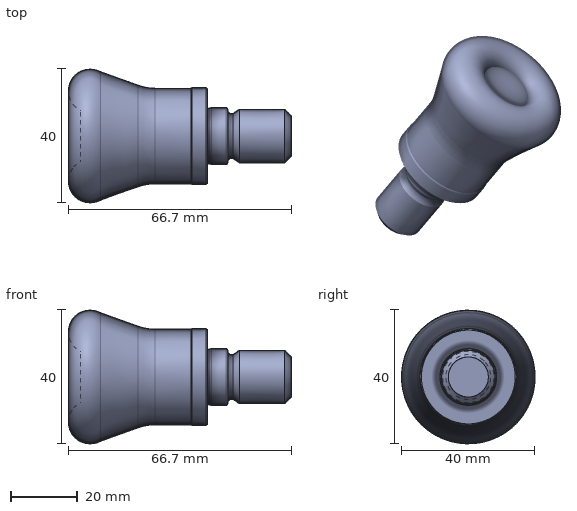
import cadquery as cq
import math


rim_outer_radius = 20.0
rim_tube_radius = 13.0 / 2
rim_end_x = 9.55
recess_floor_radius = 7.7
flare_angle = math.radians(20)
neck_radius = 28.6 / 2
neck_blend_radius = 15.0
neck_start_x = 25.95
knob_end_x = 36.6

collar_start_x = 37.0
collar_radius = 29.0 / 2
collar_end_x = 41.7
collar_chamfer = 0.5
step_radius = 16.6 / 2
step_end_x = 42.0
shoulder_radius = 17.0 / 2
shoulder_start_x = 42.8
shoulder_end_x = 47.7
shoulder_fillet = 0.6
relief_radius = 13.5 / 2
relief_fillet = 1.0
relief_end_x = 49.3
shank_radius = 16.0 / 2
shank_start_x = 51.15
shank_end_x = 66.7
tip_chamfer = 2.0


def revolve_about_x(profile):
    """Close a half section and spin it into one solid about the X axis."""
    return profile.close().revolve(360, (0, 0, 0), (1, 0, 0))


def arc_point(center_x, center_r, radius, angle):
    """Point on an arc, with the angle measured from +X towards +radius."""
    return (center_x + radius * math.cos(angle), center_r + radius * math.sin(angle))


def make_knob():
    """Flared knob: a round rim around a flat recess, a cone and a straight neck."""
    rim_center_x = rim_tube_radius
    rim_center_radius = rim_outer_radius - rim_tube_radius
    floor_drop = rim_center_radius - recess_floor_radius
    floor_x = rim_center_x - math.sqrt(rim_tube_radius**2 - floor_drop**2)

    rim_end_offset = rim_end_x - rim_center_x
    rim_end_radius = rim_center_radius + math.sqrt(rim_tube_radius**2 - rim_end_offset**2)
    cone_normal = math.pi / 2 - flare_angle
    blend_center = (neck_start_x, neck_radius + neck_blend_radius)
    blend_start = arc_point(*blend_center, neck_blend_radius, cone_normal + math.pi)
    blend_middle = arc_point(*blend_center, neck_blend_radius, -(math.pi + flare_angle) / 2)

    profile = (
        cq.Workplane("XY")
        .moveTo(floor_x, 0)
        .lineTo(floor_x, recess_floor_radius)
        .threePointArc((0, rim_center_radius), (rim_end_x, rim_end_radius))
        .lineTo(*blend_start)
        .threePointArc(blend_middle, (neck_start_x, neck_radius))
        .lineTo(knob_end_x, neck_radius)
        .lineTo(knob_end_x, 0)
    )
    return revolve_about_x(profile)


def make_pin():
    """Turned pin: collar seated on the knob, shoulder, relief groove and shank."""
    fillet_center = (shoulder_end_x - shoulder_fillet, shoulder_radius - shoulder_fillet)
    fillet_middle = arc_point(*fillet_center, shoulder_fillet, math.pi / 4)
    relief_center = (shoulder_end_x + relief_fillet, relief_radius + relief_fillet)
    relief_middle = arc_point(*relief_center, relief_fillet, -3 * math.pi / 4)

    profile = (
        cq.Workplane("XY")
        .moveTo(knob_end_x, 0)
        .lineTo(knob_end_x, neck_radius)
        .lineTo(collar_start_x, collar_radius)
        .lineTo(collar_end_x - collar_chamfer, collar_radius)
        .lineTo(collar_end_x, collar_radius - collar_chamfer)
        .lineTo(collar_end_x, step_radius)
        .lineTo(step_end_x, step_radius)
        .lineTo(shoulder_start_x, shoulder_radius)
        .lineTo(fillet_center[0], shoulder_radius)
        .threePointArc(fillet_middle, (shoulder_end_x, fillet_center[1]))
        .lineTo(shoulder_end_x, relief_center[1])
        .threePointArc(relief_middle, (relief_center[0], relief_radius))
        .lineTo(relief_end_x, relief_radius)
        .lineTo(shank_start_x, shank_radius)
        .lineTo(shank_end_x - tip_chamfer, shank_radius)
        .lineTo(shank_end_x, shank_radius - tip_chamfer)
        .lineTo(shank_end_x, 0)
    )
    return revolve_about_x(profile)


knob = make_knob()
pin = make_pin()
result = cq.Compound.makeCompound([knob.val(), pin.val()])